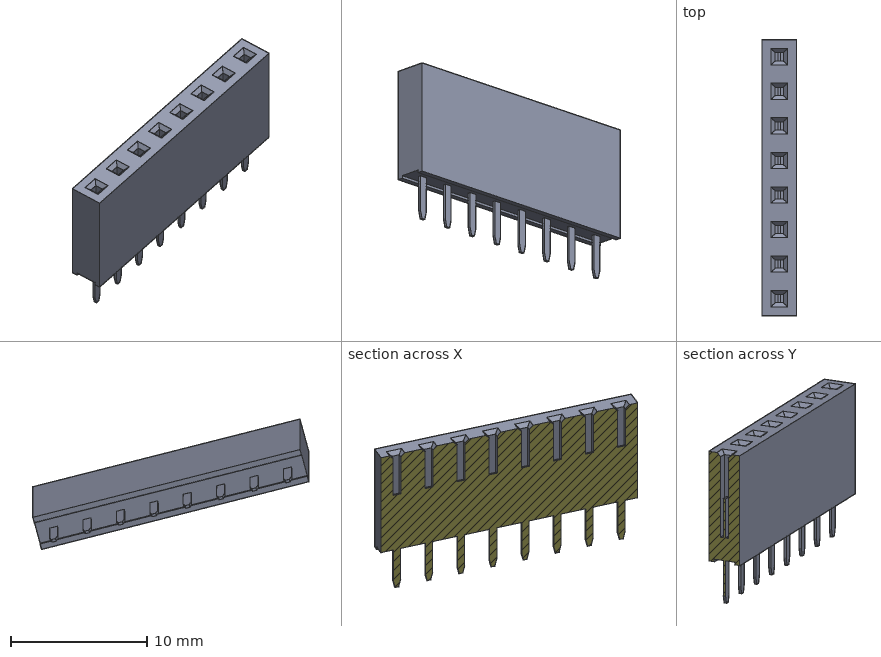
import cadquery as cq

pin_count = 8
pitch = 2.54

body_width = pitch
body_length = pin_count * pitch
body_height = 8.5
channel_width = 1.66
channel_depth = 0.2

funnel_mouth = 1.2
hole_size = 0.6
funnel_depth = 0.3
hole_floor_z = 2.0

pin_thickness = 0.2
pin_width = 0.6
pin_tip_width = 0.3
pin_taper_length = 0.6
pin_length_below = 3.1
pin_top_z = 5.0

pin_positions = [(i - (pin_count - 1) / 2) * pitch for i in range(pin_count)]


def make_body():
    """Rectangular bar with a full-length channel in its underside."""
    centered_on_floor = (True, True, False)
    bar = cq.Workplane("XY").box(body_width, body_length, body_height, centered=centered_on_floor)
    channel = cq.Workplane("XY").box(channel_width, body_length, channel_depth, centered=centered_on_floor)
    return bar.cut(channel)


def make_socket(y):
    """Cutter for one socket: tapered funnel above a straight square hole."""
    funnel_bottom_z = body_height - funnel_depth
    hole = (
        cq.Workplane("XY", origin=(0, y, hole_floor_z))
        .rect(hole_size, hole_size)
        .extrude(funnel_bottom_z - hole_floor_z)
    )
    funnel = (
        cq.Workplane("XY", origin=(0, y, funnel_bottom_z))
        .rect(hole_size, hole_size)
        .workplane(offset=funnel_depth)
        .rect(funnel_mouth, funnel_mouth)
        .loft(ruled=True)
    )
    return hole.union(funnel)


def make_pin(y):
    """Flat blade in the YZ plane with a tapered lower tip."""
    tip_z = -pin_length_below
    taper_z = tip_z + pin_taper_length
    half_width = pin_width / 2
    half_tip = pin_tip_width / 2
    return (
        cq.Workplane("YZ", origin=(0, y, 0))
        .polyline([
            (-half_tip, tip_z),
            (half_tip, tip_z),
            (half_width, taper_z),
            (half_width, pin_top_z),
            (-half_width, pin_top_z),
            (-half_width, taper_z),
        ])
        .close()
        .extrude(pin_thickness / 2, both=True)
    )


result = make_body()
for y in pin_positions:
    result = result.cut(make_socket(y))
for y in pin_positions:
    result = result.union(make_pin(y))